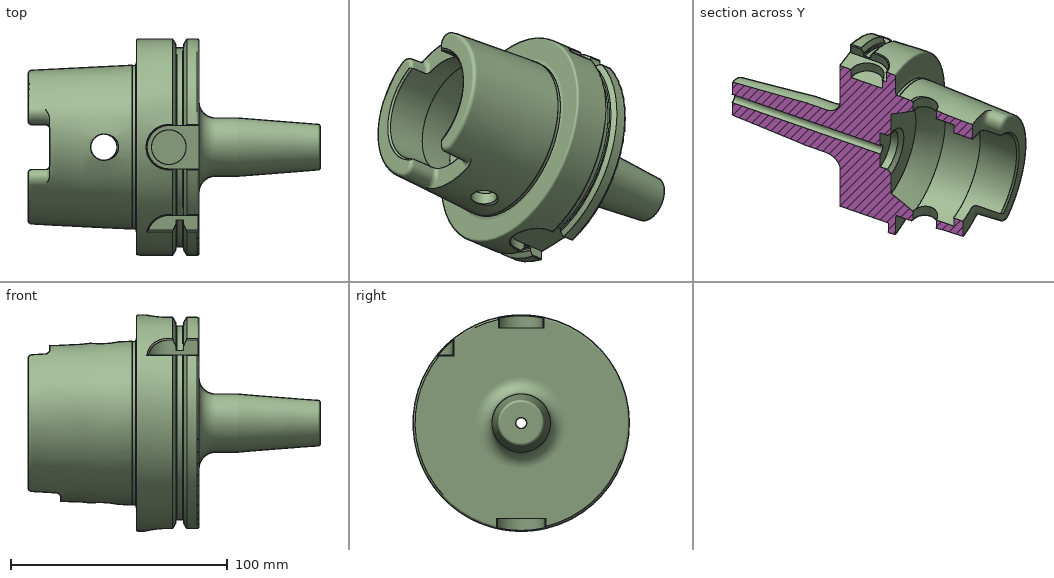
import cadquery as cq
import math


tolerance = 0.01
clearance = 1.0

shank_length = 50.0
cone_large_radius = 75.8 / 2
cone_large_x = -2.0
cone_slope = 1 / 20
shank_edge_fillet = 1.75
neck_radius = 75.52 / 2
neck_start_x = -1.8
neck_flare_x = -0.4
neck_flare_radius = 39.3

bore_radius = 53 / 2
bore_edge_chamfer = 0.9
bore_end_x = -30.1
undercut_radius = 63 / 2
undercut_end_x = -9.5
seat_slope = math.tan(math.radians(30))
seat_radius = 24.7
seat_floor_x = undercut_end_x + (undercut_radius - seat_radius) / seat_slope
socket_radius = 21 / 2
socket_mouth_radius = 25 / 2
socket_floor_x = 8.0
coolant_hole_radius = 4.92 / 2

flange_radius = 50.0
flange_width = 29.0
flange_edge_fillet = 1.0
groove_center_x = 20.0
groove_mouth_width = 6.6
groove_floor_width = 3.6
groove_floor_fillet = 0.5
groove_floor_radius = 46.0
groove_wall_depth = 2.5

nose_length = 85.0
nose_radius = 27 / 2
nose_fillet = 7.5
nose_taper_x = 46.9
nose_tip_radius = 21 / 2
nose_tip_fillet = 1.2

drive_slot_half_width = 10.3
drive_slot_depths = {1: 10.0, -1: 15.0}
drive_corner_fillet = 4.8
drive_floor_fillet = 2.0

radial_hole_x = -15.0
radial_hole_diameter = 12.0
radial_hole_chamfer = 0.5

slot_center_x = 15.0
flange_slot_widths = {1: 20.0, -1: 22.0}
slot_floor_height = 44.0
slot_edge_chamfer = 0.5
pocket_diameter = 16.0
pocket_depth = 5.0
notch_wall_y = -31.5
notch_floor_z = 31.5
notch_radius = 10.0


def make_body():
    """Revolve the outer profile of shank, flange and nose."""
    front_radius = cone_large_radius - cone_slope * (shank_length + cone_large_x)
    fillet_end_x = flange_width + nose_fillet
    fillet_mid = nose_fillet * (1 - math.sqrt(0.5))
    profile = (
        cq.Workplane("XY")
        .moveTo(-shank_length, 0)
        .lineTo(-shank_length, front_radius)
        .lineTo(cone_large_x, cone_large_radius)
        .lineTo(neck_start_x, neck_radius)
        .lineTo(neck_flare_x, neck_radius)
        .lineTo(0, neck_flare_radius)
        .lineTo(0, flange_radius)
        .lineTo(flange_width, flange_radius)
        .lineTo(flange_width, nose_radius + nose_fillet)
        .threePointArc(
            (flange_width + fillet_mid, nose_radius + fillet_mid),
            (fillet_end_x, nose_radius),
        )
        .lineTo(nose_taper_x, nose_radius)
        .lineTo(nose_length, nose_tip_radius)
        .lineTo(nose_length, 0)
        .close()
    )
    body = profile.revolve(360, (0, 0, 0), (1, 0, 0))
    rim_edges = cq.selectors.RadiusNthSelector(-1)
    body = body.edges(rim_edges).fillet(flange_edge_fillet)
    return body.faces(">X").edges().fillet(nose_tip_fillet)


def make_interior():
    """Revolve the hollow of the shank, its undercut, the socket and the coolant hole."""
    mouth_radius = bore_radius + bore_edge_chamfer
    mouth_depth = socket_mouth_radius - socket_radius
    return (
        cq.Workplane("XY")
        .moveTo(-shank_length, 0)
        .lineTo(-shank_length, mouth_radius)
        .lineTo(-shank_length + bore_edge_chamfer, bore_radius)
        .lineTo(bore_end_x, bore_radius)
        .lineTo(bore_end_x, undercut_radius)
        .lineTo(undercut_end_x, undercut_radius)
        .lineTo(seat_floor_x, seat_radius)
        .lineTo(seat_floor_x, socket_mouth_radius)
        .lineTo(seat_floor_x + mouth_depth, socket_radius)
        .lineTo(socket_floor_x, socket_radius)
        .lineTo(socket_floor_x, coolant_hole_radius)
        .lineTo(nose_length, coolant_hole_radius)
        .lineTo(nose_length, 0)
        .close()
        .revolve(360, (0, 0, 0), (1, 0, 0))
    )


def axis_distance(point):
    """Distance of a point from the rotation axis."""
    return math.hypot(point.y, point.z)


def is_drive_corner(edge):
    """True for an edge along the shank where a drive slot wall meets the cone."""
    middle = edge.positionAt(0.5)
    on_wall = abs(abs(middle.y) - drive_slot_half_width) < tolerance
    outside_bore = axis_distance(middle) > bore_radius + clearance
    along_shank = abs(edge.tangentAt(0.5).x) > math.cos(math.radians(10))
    return on_wall and outside_bore and along_shank


def is_drive_floor_edge(edge):
    """True for an edge where a drive slot floor meets the slot wall or its rounded corner."""
    middle = edge.positionAt(0.5)
    depth = drive_slot_depths[1 if middle.z > 0 else -1]
    on_floor = abs(middle.x + shank_length - depth) < tolerance
    across_shank = abs(edge.tangentAt(0.5).x) < tolerance
    mid_wall_limit = cone_large_radius - drive_corner_fillet / 2 - clearance
    between = bore_radius + tolerance < axis_distance(middle) < mid_wall_limit
    beside_slot = abs(middle.y) > drive_slot_half_width - tolerance
    return on_floor and across_shank and between and beside_slot


def is_shank_rim(edge):
    """True for an edge of the shank end face that does not lie on the bore."""
    samples = (edge.startPoint(), edge.positionAt(0.5), edge.endPoint())
    return any(abs(axis_distance(point) - bore_radius) > tolerance for point in samples)


def fillet_where(body, test, radius):
    """Fillet the edges that pass the test."""
    chosen = [edge for edge in body.edges().vals() if test(edge)]
    return body.newObject(chosen).fillet(radius)


def cut_drive_slots(body):
    """Cut both drive slots and round the shank end around them."""
    height = cone_large_radius + clearance
    for side, depth in drive_slot_depths.items():
        slot = cq.Workplane("XY").box(depth, 2 * drive_slot_half_width, height, (False, True, False))
        body = body.cut(slot.translate((-shank_length, 0, 0 if side > 0 else -height)))
    bore = cq.Workplane("YZ", origin=(-shank_length, 0, 0)).circle(bore_radius)
    body = body.cut(bore.extrude(bore_end_x + shank_length))
    body = fillet_where(body, is_drive_corner, drive_corner_fillet)
    body = fillet_where(body, is_drive_floor_edge, drive_floor_fillet)
    rim = [edge for edge in body.faces("<X").edges().vals() if is_shank_rim(edge)]
    return body.newObject(rim).fillet(shank_edge_fillet)


def make_flange_slot(side, width):
    """Radial slot with a round end, open toward the nose; side is +1 for +Z and -1 for -Z."""
    height = flange_radius
    channel = cq.Workplane("XY").box(flange_width, width, height, (False, True, False))
    slot = (
        cq.Workplane("XY")
        .circle(width / 2)
        .extrude(height)
        .union(channel)
        .translate((slot_center_x, 0, slot_floor_height))
    )
    return slot if side > 0 else slot.mirror("XY")


def make_notch():
    """Corner notch at the -Y, +Z side of the flange, with an upright wall and a level floor."""
    center_y = notch_wall_y - notch_radius
    outer_y = -flange_radius - clearance
    outline = (
        cq.Workplane("XY", origin=(0, 0, notch_floor_z))
        .moveTo(slot_center_x - notch_radius, outer_y)
        .lineTo(slot_center_x - notch_radius, center_y)
        .radiusArc((slot_center_x, notch_wall_y), notch_radius)
        .lineTo(flange_width + clearance, notch_wall_y)
        .lineTo(flange_width + clearance, outer_y)
        .close()
    )
    return outline.extrude(flange_radius)


def make_gripper_groove():
    """Ring that cuts the gripper groove all round the flange."""
    outer = flange_radius + clearance
    wall_radius = flange_radius - groove_wall_depth
    half_mouth = groove_mouth_width / 2
    half_floor = groove_floor_width / 2
    return (
        cq.Workplane("XY", origin=(groove_center_x, 0, 0))
        .moveTo(-half_mouth, outer)
        .lineTo(-half_mouth, flange_radius)
        .lineTo(-half_floor, wall_radius)
        .lineTo(-half_floor, groove_floor_radius)
        .lineTo(half_floor, groove_floor_radius)
        .lineTo(half_floor, wall_radius)
        .lineTo(half_mouth, flange_radius)
        .lineTo(half_mouth, outer)
        .close()
        .revolve(360, (0, 0, 0), (1, 0, 0))
        .edges(cq.selectors.RadiusNthSelector(0))
        .fillet(groove_floor_fillet)
    )


def make_radial_hole():
    """Hole across the shank with a chamfer at each mouth."""
    radius = radial_hole_diameter / 2
    surface = cone_large_radius + cone_slope * (radial_hole_x - cone_large_x)
    top = surface + clearance
    mouth_radius = radius + radial_hole_chamfer + clearance
    hole = (
        cq.Workplane("XZ", origin=(radial_hole_x, 0, 0))
        .moveTo(0, -top)
        .lineTo(mouth_radius, -top)
        .lineTo(radius, -surface + radial_hole_chamfer)
        .lineTo(radius, surface - radial_hole_chamfer)
        .lineTo(mouth_radius, top)
        .lineTo(0, top)
        .close()
    )
    return hole.revolve(360, (0, 0, 0), (0, 1, 0))


def make_pocket():
    """Blind round pocket in the floor of the +Z slot."""
    floor = slot_floor_height - pocket_depth
    center = cq.Workplane("XY", origin=(slot_center_x, 0, floor))
    return center.circle(pocket_diameter / 2).extrude(flange_radius)


def is_slot_mouth(edge):
    """True for an edge where a slot or notch runs out through the round flange surface."""
    middle = edge.positionAt(0.5)
    on_surface = abs(axis_distance(middle) - flange_radius) < tolerance
    margin = flange_edge_fillet + tolerance
    between_rims = margin < middle.x < flange_width - margin
    is_seam = abs(middle.z) < tolerance
    return on_surface and between_rims and not is_seam


def chamfer_slot_mouths(body):
    """Break the edges of the slots and the notch on the round flange surface."""
    mouths = [edge for edge in body.edges().vals() if is_slot_mouth(edge)]
    return body.newObject(mouths).chamfer(slot_edge_chamfer)


result = make_body()
for side, width in flange_slot_widths.items():
    result = result.cut(make_flange_slot(side, width))
result = result.cut(make_notch())
result = chamfer_slot_mouths(result)
result = result.cut(make_gripper_groove())
result = cut_drive_slots(result)
result = result.cut(make_interior())
result = result.cut(make_radial_hole())
result = result.cut(make_pocket())